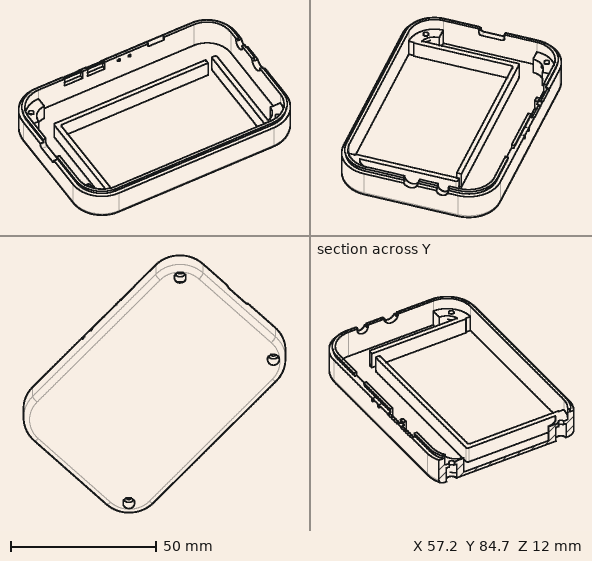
import cadquery as cq
import math

WIDTH = 57.2
LENGTH = 84.7
HEIGHT = 12.0
CORNER_RADIUS = 11.5
WALL = 2.2
FLOOR = 1.6
BOTTOM_FILLET = 2.0
LIP_HEIGHT = 1.35
LIP_INSET = WALL / 2
LIP_UNDERCUT = 0.3
RIM_Z = HEIGHT - LIP_HEIGHT

CORNER_X = WIDTH / 2 - CORNER_RADIUS
CORNER_Y = LENGTH / 2 - CORNER_RADIUS
INNER_X = WIDTH / 2 - WALL

INNER_TOP_Z = 7.6
INNER_HEIGHT = INNER_TOP_Z - FLOOR
POST_INNER_RADIUS = 5.25
SCREW_DIAMETER = 1.9
SCREW_HEAD_DIAMETER = 4.0
SCREW_LEDGE = 1.7
SCREW_X = 22.0
SCREW_Y = 36.25
SCREW_POSTS = [(1, 1), (1, -1), (-1, -1)]
RIB_LEFT_X = -13.5
RIB_RIGHT_X = 24.5
RIB_OUTER_Y = 32.35
RIB_INNER_Y = 30.5
SIDE_RIB_THICKNESS = 1.7
SIDE_RIB_END_Y = 28.1
RIB_CORNER_RADIUS = 0.7

CABLE_HOLES = [(-11.3, 11.3, 4.2), (0.25, HEIGHT, 5.5)]
CONNECTOR_X = -0.6
CONNECTOR_WIDTH = 9.3
CONNECTOR_DEPTH = 2.8
CONNECTOR_RADIUS = 1.0
LIP_GAP_Y = 16.1
LIP_GAP_LENGTH = 6.35
BUTTONS = [(-7.9, 6.9), (-16.85, 7.2)]
BUTTON_NOTCH_DEPTH = 1.6
BUTTON_POCKET_DEPTH = 3.4
BUTTON_SKIN = 0.85
BUTTON_RADIUS = 0.7
LIGHT_DIAMETER = 1.0
LIGHT_Z = 9.9
LIGHT_YS = [5.4, 1.2]


def rounded_block(inset, bottom, top):
    """Case outline moved inward by inset, between two heights."""
    return (
        cq.Workplane("XY", origin=(0, 0, bottom))
        .rect(WIDTH - 2 * inset, LENGTH - 2 * inset)
        .extrude(top - bottom)
        .edges("|Z")
        .fillet(CORNER_RADIUS - inset)
    )


def block(x_range, y_range, z_range):
    """Box given by its limits along each axis."""
    (x0, x1), (y0, y1), (z0, z1) = x_range, y_range, z_range
    return cq.Workplane("XY", origin=(x0, y0, z0)).box(x1 - x0, y1 - y0, z1 - z0, centered=False)


def shell():
    """Open tray with a filleted bottom and an undercut lip standing on the rim."""
    body = rounded_block(0, 0, RIM_Z).faces("<Z").edges().fillet(BOTTOM_FILLET)
    undercut_angle = math.degrees(math.atan2(LIP_UNDERCUT, LIP_HEIGHT))
    lip = (
        rounded_block(LIP_INSET, RIM_Z, HEIGHT)
        .faces(">Z")
        .wires()
        .toPending()
        .workplane()
        .extrude(-LIP_HEIGHT, combine=False, taper=undercut_angle)
    )
    return body.union(lip).cut(rounded_block(WALL, FLOOR, HEIGHT))


def corner_post(side_x, side_y):
    """Quarter ring between the rounded wall corner and a concentric hollow."""
    x, y = side_x * CORNER_X, side_y * CORNER_Y
    quarter = block(
        sorted((x, side_x * WIDTH / 2)),
        sorted((y, side_y * LENGTH / 2)),
        (FLOOR, INNER_TOP_Z),
    )
    hollow = cq.Workplane("XY", origin=(x, y, FLOOR)).circle(POST_INNER_RADIUS).extrude(INNER_HEIGHT)
    return quarter.cut(hollow).intersect(rounded_block(LIP_INSET, FLOOR, HEIGHT))


def ribs():
    """Straight upper rib and an L-shaped rib around the battery bay."""
    heights = (FLOOR, INNER_TOP_Z)
    x_range = (RIB_LEFT_X, RIB_RIGHT_X)
    upper = block(x_range, (RIB_INNER_Y, RIB_OUTER_Y), heights)
    upper = upper.edges("|Z and <X and >Y").fillet(RIB_CORNER_RADIUS)
    lower = block(x_range, (-RIB_OUTER_Y, SIDE_RIB_END_Y), heights)
    lower = lower.edges("|Z and <X and <Y").fillet(RIB_CORNER_RADIUS)
    recess = block(
        (RIB_LEFT_X + SIDE_RIB_THICKNESS, WIDTH / 2),
        (-RIB_INNER_Y, RIB_OUTER_Y),
        heights,
    )
    recess = recess.edges("|Z and <X and <Y").fillet(RIB_CORNER_RADIUS)
    return upper.union(lower.cut(recess))


def connector_notch():
    """Round-cornered notch through the front wall."""
    x_range = (CONNECTOR_X - CONNECTOR_WIDTH / 2, CONNECTOR_X + CONNECTOR_WIDTH / 2)
    y_range = (-LENGTH / 2, -LENGTH / 2 + WALL)
    notch = block(x_range, y_range, (HEIGHT - CONNECTOR_DEPTH, HEIGHT))
    return notch.faces("<Z").edges("|Y").fillet(CONNECTOR_RADIUS)


def button_opening(centre_y, length):
    """Shallow round-cornered notch through the wall with a deeper pocket behind a thin skin."""
    y_range = (centre_y - length / 2, centre_y + length / 2)
    notch = block((-WIDTH / 2, -INNER_X), y_range, (HEIGHT - BUTTON_NOTCH_DEPTH, HEIGHT))
    notch = notch.faces("<Z").edges("|X").fillet(BUTTON_RADIUS)
    pocket = block(
        (-WIDTH / 2 + BUTTON_SKIN, -INNER_X),
        y_range,
        (HEIGHT - BUTTON_POCKET_DEPTH, HEIGHT),
    )
    return notch.union(pocket)


result = shell().union(ribs())
for side_x, side_y in SCREW_POSTS:
    result = result.union(corner_post(side_x, side_y))

screw_points = [(side_x * SCREW_X, side_y * SCREW_Y) for side_x, side_y in SCREW_POSTS]
screw_centres = cq.Workplane("XY").pushPoints(screw_points)
result = result.cut(screw_centres.circle(SCREW_DIAMETER / 2).extrude(HEIGHT))
result = result.cut(screw_centres.circle(SCREW_HEAD_DIAMETER / 2).extrude(INNER_TOP_Z - SCREW_LEDGE))

for x, z, diameter in CABLE_HOLES:
    hole = cq.Workplane("XZ", origin=(x, LENGTH / 2, z)).circle(diameter / 2).extrude(WALL)
    result = result.cut(hole)

result = result.cut(connector_notch())

lip_gap = block(
    (-WIDTH / 2, -INNER_X),
    (LIP_GAP_Y - LIP_GAP_LENGTH / 2, LIP_GAP_Y + LIP_GAP_LENGTH / 2),
    (RIM_Z, HEIGHT),
)
result = result.cut(lip_gap)

for centre_y, length in BUTTONS:
    result = result.cut(button_opening(centre_y, length))

for y in LIGHT_YS:
    light = cq.Workplane("YZ", origin=(-WIDTH / 2, y, LIGHT_Z)).circle(LIGHT_DIAMETER / 2).extrude(WALL)
    result = result.cut(light)